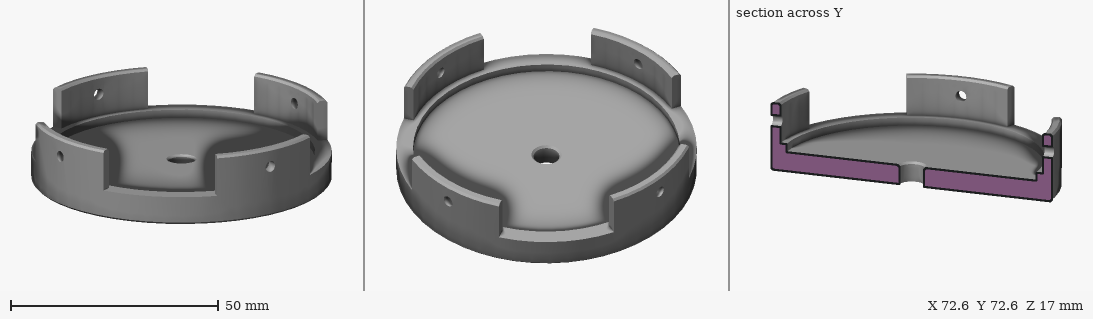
import cadquery as cq
import math

outer_diameter = 72.6
height = 17.0
rim_height = 7.0
wall_thickness = 2.5
recess_diameter = 64.5
recess_depth = 2.0
center_hole_diameter = 6.25
edge_chamfer = 0.5

tab_count = 4
tab_angle = 45.0
pin_hole_diameter = 2.75
pin_hole_height = 12.5

outer_radius = outer_diameter / 2
inner_radius = outer_radius - wall_thickness
recess_radius = recess_diameter / 2
center_hole_radius = center_hole_diameter / 2
floor_height = rim_height - recess_depth
tab_spacing = 360.0 / tab_count


def make_cup():
    """Full ring wall, stepped recess and bored floor, revolved about Z."""
    profile = [
        (center_hole_radius, 0),
        (outer_radius - edge_chamfer, 0),
        (outer_radius, edge_chamfer),
        (outer_radius, height - edge_chamfer),
        (outer_radius - edge_chamfer, height),
        (inner_radius + edge_chamfer, height),
        (inner_radius, height - edge_chamfer),
        (inner_radius, rim_height),
        (recess_radius, rim_height),
        (recess_radius, floor_height),
        (center_hole_radius + edge_chamfer, floor_height),
        (center_hole_radius, floor_height - edge_chamfer),
    ]
    return cq.Workplane("XZ").polyline(profile).close().revolve(360, (0, 0), (0, 1))


def make_gap_cutter():
    """Wedge with radial sides that opens the wall between two tabs."""
    reach = outer_diameter
    half_angle = math.radians((tab_spacing - tab_angle) / 2)
    side_x = reach * math.cos(half_angle)
    side_y = reach * math.sin(half_angle)
    return (
        cq.Workplane("XY", origin=(0, 0, rim_height))
        .polyline([(0, 0), (side_x, -side_y), (side_x, side_y)])
        .close()
        .extrude(height - rim_height)
    )


def make_pin_hole_cutter():
    """Radial cylinder from the axis outward along +X."""
    return (
        cq.Workplane("YZ", origin=(0, 0, pin_hole_height))
        .circle(pin_hole_diameter / 2)
        .extrude(outer_diameter)
    )


result = make_cup()
for tab in range(tab_count):
    tab_direction = tab * tab_spacing
    gap_direction = tab_direction + tab_spacing / 2
    result = result.cut(make_gap_cutter().rotate((0, 0, 0), (0, 0, 1), gap_direction))
    result = result.cut(make_pin_hole_cutter().rotate((0, 0, 0), (0, 0, 1), tab_direction))